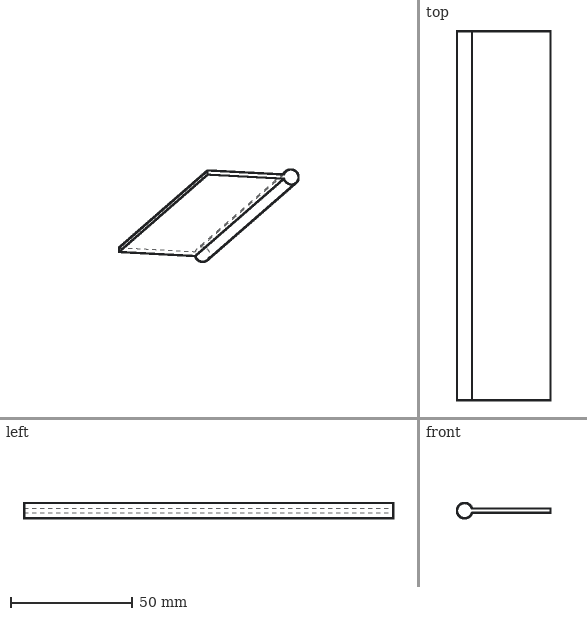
import cadquery as cq

length = 152.4
overall_width = 38.7
bead_diameter = 6.4
blade_thickness = 1.8

bead_radius = bead_diameter / 2
blade_width = overall_width - bead_radius

bead = cq.Workplane("XZ").circle(bead_radius).extrude(length / 2, both=True)
blade = cq.Workplane("XY").box(blade_width, length, blade_thickness, centered=(False, True, True))

result = bead.union(blade)